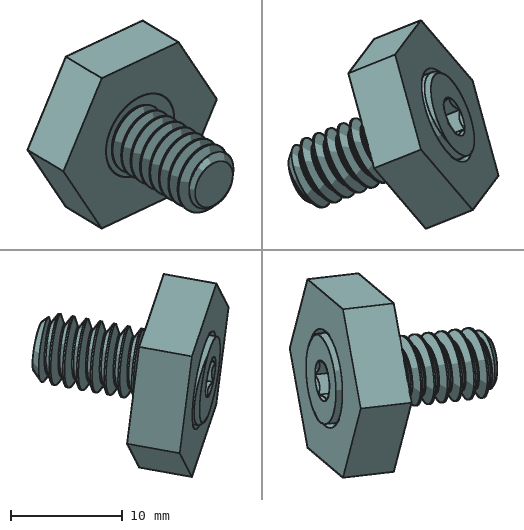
import cadquery as cq
import math

overall_length = 15.87
hex_thickness = 4.85
head_protrusion = 0.48
shank_end = overall_length - head_protrusion

hex_corners = 18.33
bore_diameter = 8.2
bore_chamfer = 0.37

head_diameter = 8.12
screw_offset = -0.51
head_face_radius = 4.16

socket_corners = 3.68
socket_flats = socket_corners * math.cos(math.pi / 6)
socket_depth = 3.12
socket_chamfer = (socket_corners - socket_flats) / 2

thread_radius = 3.19
core_radius = 2.36
thread_pitch = 1.27
crest_flat = 0.16
flank_angle = math.radians(30)
root_overlap = 0.05
first_crest = 0.1
shank_tip_radius = 2.25


def shank_plane(x):
    """Plane normal to X, centred on the shank axis."""
    return cq.Workplane("YZ", origin=(x, screw_offset, 0))


def make_hex_washer():
    washer = cq.Workplane("YZ").polygon(6, hex_corners).extrude(hex_thickness)
    bore = cq.Workplane("YZ").circle(bore_diameter / 2).extrude(hex_thickness)
    mouth = cq.Workplane("YZ").add(
        cq.Solid.makeCone(
            bore_diameter / 2 + bore_chamfer, bore_diameter / 2, bore_chamfer,
            cq.Vector(0, 0, 0), cq.Vector(1, 0, 0),
        )
    )
    return washer.cut(bore).cut(mouth)


def make_head():
    """Cylindrical head whose front edge is bevelled about the offset shank axis."""
    length = head_protrusion + hex_thickness
    head = cq.Workplane("YZ", origin=(-head_protrusion, 0, 0)).circle(head_diameter / 2).extrude(length)
    bevel = cq.Workplane("YZ").add(
        cq.Solid.makeCone(
            head_face_radius, head_face_radius + length, length,
            cq.Vector(-head_protrusion, screw_offset, 0), cq.Vector(1, 0, 0),
        )
    )
    return head.intersect(bevel)


def make_socket():
    """Hex pocket with a conical lead-in that just reaches its corners."""
    pocket = shank_plane(-head_protrusion).polygon(6, socket_corners).extrude(socket_depth)
    lead_in = cq.Workplane("YZ").add(
        cq.Solid.makeCone(
            socket_corners / 2, socket_flats / 2, socket_chamfer,
            cq.Vector(-head_protrusion, screw_offset, 0), cq.Vector(1, 0, 0),
        )
    )
    return pocket.union(lead_in)


def make_thread_ridge():
    """Helical ridge running past both ends of the shank, based just inside the core."""
    base_radius = core_radius - root_overlap
    crest_half = crest_flat / 2
    base_half = crest_half + (thread_radius - base_radius) * math.tan(flank_angle)
    start = hex_thickness + first_crest - thread_pitch
    turns = math.ceil((shank_end - start) / thread_pitch) + 1
    path = cq.Wire.makeHelix(thread_pitch, turns * thread_pitch, thread_radius)
    ridge = (
        cq.Workplane("XZ")
        .polyline([
            (base_radius, -base_half),
            (thread_radius, -crest_half),
            (thread_radius, crest_half),
            (base_radius, base_half),
        ])
        .close()
        .sweep(cq.Workplane(obj=path), isFrenet=True)
    )
    return (
        ridge.rotate((0, 0, 0), (0, 1, 0), 90)
        .rotate((0, 0, 0), (1, 0, 0), 180)
        .translate((start, screw_offset, 0))
    )


def make_shank():
    """Threaded rod longer than the shank, trimmed to its length and to the cone at its tip."""
    rod_start = hex_thickness - 2 * thread_pitch
    rod_end = shank_end + 3 * thread_pitch
    rod = shank_plane(rod_start).circle(core_radius).extrude(rod_end - rod_start)
    envelope_radius = thread_radius + 0.18
    cone_length = envelope_radius - shank_tip_radius
    envelope = (
        cq.Workplane("XY", origin=(0, screw_offset, 0))
        .polyline([
            (hex_thickness, 0),
            (hex_thickness, envelope_radius),
            (shank_end - cone_length, envelope_radius),
            (shank_end, shank_tip_radius),
            (shank_end, 0),
        ])
        .close()
        .revolve(360, (0, 0, 0), (1, 0, 0))
    )
    return rod.union(make_thread_ridge()).intersect(envelope)


def make_screw():
    return make_head().union(make_shank()).cut(make_socket())


hex_washer = make_hex_washer()
eccentric_screw = make_screw()
result = cq.Compound.makeCompound([hex_washer.val(), *eccentric_screw.solids().vals()])